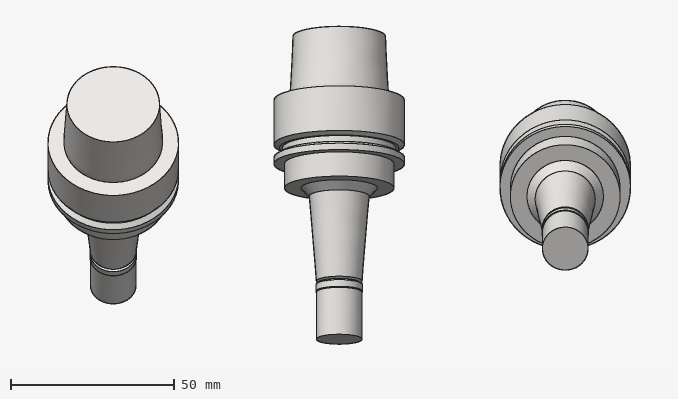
import cadquery as cq
import math


taper_top_z = 20.0
taper_top_diameter = 28.4
taper_base_diameter = 30.2
taper_base_z = 2.0

flange_diameter = 40.0
flange_bottom_z = -20.0
groove_diameter = 34.8
groove_center_z = -16.0
groove_floor_width = 2.0
groove_mouth_width = 4.0
groove_flank_angle = 60.0
groove_upper_edge_z = groove_center_z + groove_mouth_width / 2
groove_floor_top_z = groove_center_z + groove_floor_width / 2
groove_floor_bottom_z = groove_center_z - groove_floor_width / 2
groove_lower_edge_z = groove_center_z - groove_mouth_width / 2
groove_flank_height = (groove_mouth_width - groove_floor_width) / 2
groove_lip_diameter = flange_diameter - 2 * groove_flank_height * math.tan(math.radians(groove_flank_angle))

body_diameter = 33.6
body_bottom_z = -27.6
shoulder_top_diameter = 23.4
shoulder_bottom_diameter = 18.4
shoulder_bottom_z = -30.2

nose_end_diameter = 14.05
nose_bevel_z = -56.8
nose_end_z = -57.3

neck_diameter = 12.5
neck_bottom_z = -57.9
collar_diameter = 14.3
collar_bevel_z = -60.0
collar_bottom_z = -60.3
shank_diameter = 14.0
shank_bottom_z = -75.0


def frustum(top_z, top_diameter, bottom_z, bottom_diameter):
    """Solid of revolution about Z with straight sides between two levels."""
    top_radius = top_diameter / 2
    bottom_radius = bottom_diameter / 2
    profile = [(0, top_z), (top_radius, top_z), (bottom_radius, bottom_z), (0, bottom_z)]
    return cq.Workplane("XZ").polyline(profile).close().revolve(360, (0, 0), (0, 1))


def cylinder(top_z, bottom_z, diameter):
    return frustum(top_z, diameter, bottom_z, diameter)


def clamping_taper():
    cone = frustum(taper_top_z, taper_top_diameter, taper_base_z, taper_base_diameter)
    return cone.union(cylinder(taper_base_z, 0, taper_base_diameter))


def flange():
    upper_ring = cylinder(0, groove_upper_edge_z, flange_diameter)
    upper_flank = frustum(groove_upper_edge_z, flange_diameter, groove_floor_top_z, groove_lip_diameter)
    floor = cylinder(groove_floor_top_z, groove_floor_bottom_z, groove_diameter)
    lower_flank = frustum(groove_floor_bottom_z, groove_lip_diameter, groove_lower_edge_z, flange_diameter)
    lower_ring = cylinder(groove_lower_edge_z, flange_bottom_z, flange_diameter)
    return upper_ring.union(upper_flank).union(floor).union(lower_flank).union(lower_ring)


def body():
    shoulder = frustum(body_bottom_z, shoulder_top_diameter, shoulder_bottom_z, shoulder_bottom_diameter)
    return cylinder(flange_bottom_z, body_bottom_z, body_diameter).union(shoulder)


def nose():
    cone = frustum(shoulder_bottom_z, shoulder_bottom_diameter, nose_bevel_z, nose_end_diameter)
    return cone.union(frustum(nose_bevel_z, nose_end_diameter, nose_end_z, neck_diameter))


def tool_shank():
    neck = cylinder(nose_end_z, neck_bottom_z, neck_diameter)
    collar = cylinder(neck_bottom_z, collar_bevel_z, collar_diameter)
    collar_bevel = frustum(collar_bevel_z, collar_diameter, collar_bottom_z, shank_diameter)
    shank = cylinder(collar_bottom_z, shank_bottom_z, shank_diameter)
    return neck.union(collar).union(collar_bevel).union(shank)


result = clamping_taper().union(flange()).union(body()).union(nose()).union(tool_shank())